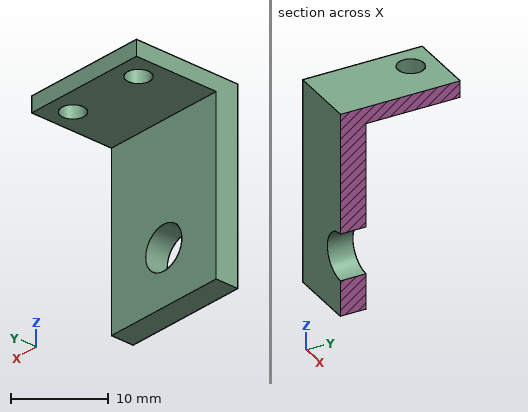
import cadquery as cq

width = 16.0
depth = 14.0
height = 24.0

wall_thickness = 3.0
flange_thickness = 2.0

wall_hole_diameter = 5.5
wall_hole_height = 7.0

flange_hole_diameter = 3.0
flange_hole_spacing = 10.0
flange_hole_back_margin = 3.0


def make_bracket():
    """Upright wall and top flange, with the front bottom edge centred on the origin."""
    wall = cq.Workplane("XY").box(width, wall_thickness, height, centered=(True, False, False))
    flange = (
        cq.Workplane("XY")
        .workplane(offset=height - flange_thickness)
        .box(width, depth, flange_thickness, centered=(True, False, False))
    )
    return wall.union(flange)


def make_wall_hole():
    """Cylinder along Y that pierces the upright wall."""
    return (
        cq.Workplane("XZ")
        .center(0, wall_hole_height)
        .circle(wall_hole_diameter / 2)
        .extrude(-wall_thickness)
    )


def make_flange_holes():
    """Two cylinders along Z that pierce the flange near its back edge."""
    hole_y = depth - flange_hole_back_margin
    half_spacing = flange_hole_spacing / 2
    return (
        cq.Workplane("XY")
        .workplane(offset=height - flange_thickness)
        .pushPoints([(-half_spacing, hole_y), (half_spacing, hole_y)])
        .circle(flange_hole_diameter / 2)
        .extrude(flange_thickness)
    )


result = make_bracket().cut(make_wall_hole()).cut(make_flange_holes())